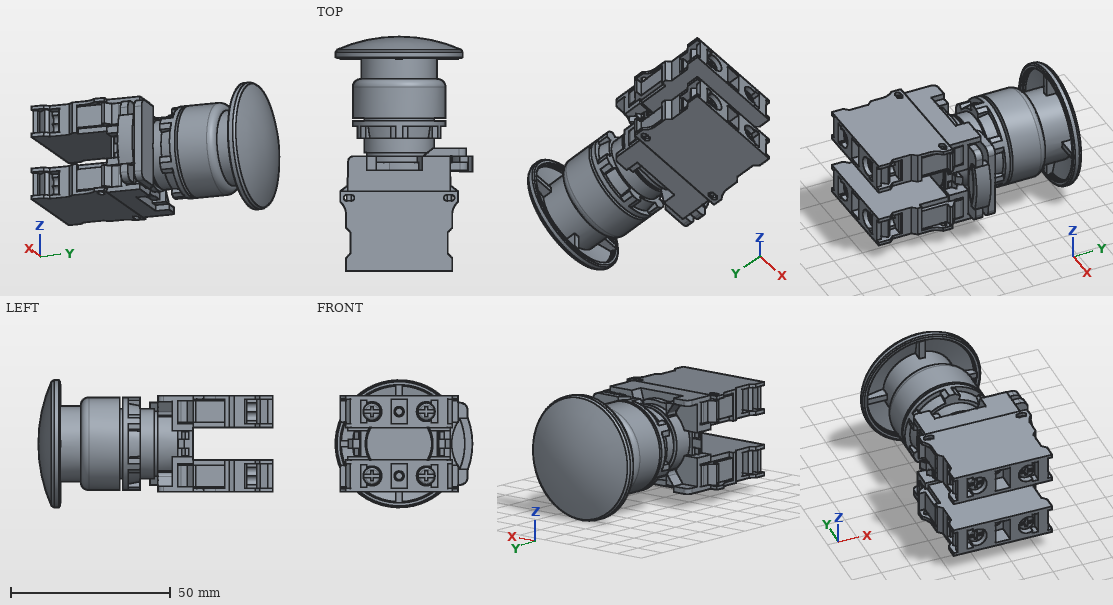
import cadquery as cq
import math



def box(x_range, y_range, z_range):
    """Box spanning three (low, high) ranges."""
    size = [high - low for low, high in (x_range, y_range, z_range)]
    start = (x_range[0], y_range[0], z_range[0])
    return cq.Workplane("XY").box(*size, centered=False).translate(start)


def prism_z(points, z_range):
    """Prism along Z from an XY outline."""
    low, high = z_range
    return cq.Workplane("XY", origin=(0, 0, low)).polyline(points).close().extrude(high - low)


def prism_y(points, y_range):
    """Prism along Y from an XZ outline."""
    low, high = y_range
    return cq.Workplane("XZ", origin=(0, low, 0)).polyline(points).close().extrude(low - high)


def disc(radius, y_range, x=0, z=0):
    """Cylinder along Y."""
    low, high = y_range
    return cq.Workplane("XZ", origin=(x, low, z)).circle(radius).extrude(low - high)


def both_x(shape):
    """The shape together with its mirror image across X = 0."""
    return shape.union(shape.mirror("YZ"))


def both_z(shape):
    """The shape together with its mirror image across Z = 0."""
    return shape.union(shape.mirror("XY"))


def mirrored_outline(half):
    """Closed XY outline from its +X half."""
    return half + [(-x, y) for x, y in reversed(half)]


length = 73.5
adapter_rear = 25.0
adapter_half_z = 15.1
bore_radius = 10.2
pocket_floor_y = 25.7
arm_root_x = 15.1
shell_low_z = 6.3
shell_high_z = 14.0
arm_z = (6.75, 13.5)


cap_radius = 20.0
cap_rim_y = 66.7
cap_side_y = (67.0, 68.5)
cap_shoulder = (19.5, 69.4)
cap_mouth_radius = 18.5
cap_lip_y = 67.3
cap_lip_step = 0.4
cavity_edge_y = 68.35
cavity_stem_y = 69.7
cap_chamfer_radius = 19.5
stem_radius = 11.9
collar_radius = 14.55
collar_y = (47.9, 60.2)
collar_round = 2.5
neck_radius = 11.0
neck_rear = 37.1
rib_width = 2.0
rib_rear = 66.4

nut_ring_y = (45.35, 47.05)
nut_rear = 41.6
tooth_count = 6
gap_half_angle_outer = 25.7
gap_half_angle_step = 19.0
gap_step_radius = 13.8
valley_front_radius = 12.85
valley_rear_radius = 12.1
gap_overrun = 2.2


def polar(radius, angle):
    """XZ point at an angle in degrees from +X."""
    return radius * math.cos(math.radians(angle)), radius * math.sin(math.radians(angle))


def head_turning():
    """Cap, stem, collar, neck, nut blank and barrel as one turned shape."""
    collar_rear, collar_front = collar_y
    dome_height = length - cap_shoulder[1]
    sphere_radius = (cap_shoulder[0] ** 2 + dome_height**2) / (2 * dome_height)
    half_x = cap_shoulder[0] / 2
    half_y = length - sphere_radius + math.sqrt(sphere_radius**2 - half_x**2)
    profile = (
        cq.Workplane("XY")
        .moveTo(0, length)
        .threePointArc((half_x, half_y), cap_shoulder)
        .lineTo(cap_radius, cap_side_y[1])
        .lineTo(cap_radius, cap_side_y[0])
        .lineTo(cap_chamfer_radius, cap_rim_y)
        .lineTo(cap_mouth_radius, cap_rim_y)
        .lineTo(cap_mouth_radius, cap_lip_y)
        .lineTo(cap_mouth_radius - cap_lip_step, cap_lip_y + cap_lip_step)
        .lineTo(cap_mouth_radius - cap_lip_step, cavity_edge_y)
        .lineTo(stem_radius, cavity_stem_y)
        .lineTo(stem_radius, collar_front)
        .lineTo(collar_radius - collar_round, collar_front)
        .radiusArc((collar_radius, collar_front - collar_round), collar_round)
        .lineTo(collar_radius, collar_rear)
        .lineTo(neck_radius, collar_rear)
        .lineTo(neck_radius, nut_ring_y[1])
        .lineTo(collar_radius, nut_ring_y[1])
        .lineTo(collar_radius, nut_rear)
        .lineTo(neck_radius, nut_rear)
        .lineTo(neck_radius, neck_rear)
        .lineTo(bore_radius, neck_rear)
        .lineTo(bore_radius, pocket_floor_y)
        .lineTo(0, pocket_floor_y)
        .close()
    )
    return profile.revolve(360, (0, 0, 0), (0, 1, 0))


def cap_ribs():
    """Four ribs between the stem and the cap rim."""
    bar = box(
        (-cap_mouth_radius, cap_mouth_radius), (rib_rear, cavity_stem_y), (-rib_width / 2, rib_width / 2)
    )
    return bar.union(bar.rotate((0, 0, 0), (0, 1, 0), 90))


def nut_gap():
    """Gap between two teeth of the nut, centred on +X, with a tapered floor."""
    y_range = (nut_rear, nut_ring_y[0])
    outside = collar_radius + gap_overrun
    inside = valley_rear_radius - gap_overrun
    upper = [
        polar(inside, gap_half_angle_step),
        polar(gap_step_radius, gap_half_angle_step),
        polar(collar_radius, gap_half_angle_outer),
        polar(outside, gap_half_angle_outer),
    ]
    lower = [(x, -z) for x, z in reversed(upper)]
    floor = (
        cq.Workplane("XY")
        .polyline([
            (0, nut_rear),
            (valley_rear_radius, nut_rear),
            (valley_front_radius, nut_ring_y[0]),
            (0, nut_ring_y[0]),
        ])
        .close()
        .revolve(360, (0, 0, 0), (0, 1, 0))
    )
    return prism_y(upper + lower, y_range).cut(floor)


def make_head():
    head = head_turning().union(cap_ribs())
    gap = nut_gap()
    for k in range(tooth_count):
        head = head.cut(gap.rotate((0, 0, 0), (0, 1, 0), k * 360 / tooth_count))
    return head


adapter_half_x = 16.0
adapter_front = 36.0
bracket_front = 31.5
cheek_inner_z = 4.05
middle_front = 29.8
middle_half_x = 12.35
pocket_half_x = 12.0
bore_relief = 0.4
tab_half_z = 1.5
bar_end_z = 3.75
tab_outline = [
    (middle_half_x, 27.8),
    (14.5, 27.8),
    (15.95, 29.6),
    (middle_half_x, 29.6),
]
bar_outline = [
    (middle_half_x, 26.3),
    (12.7, 26.3),
    (12.7, 27.4),
    (14.1, 28.5),
    (middle_half_x, 28.5),
]
plate_inner_z = 13.2
corner_round = 1.8
hub_radius = 11.4
notch_x = (-10.1, 7.2)
web_foot = (8.2, 7.9)
web_curve_middle = (7.4, 9.0)
web_curve_end = (7.65, 10.15)
window_left = -7.1
window_right = 5.45
window_floor_z = 8.8
ring_x = (-7.5, 6.3)
ring_radius = 12.8
ring_floor_z = 10.3
ring_flat_end = -2.9
ring_flat_z = 12.4
ring_y = (bracket_front, 34.0)

guard_front = 38.5
guard_left_x = (7.6, 10.65)
guard_right = 21.1
guard_half_z = 12.9
guard_round = 2.4

handle_radius = 23.0
handle_inner_radius = 20.6
handle_half_z = 7.95
handle_y = (31.1, adapter_front)
web_edge_radius = 13.4
web_edge_x = 16.5
web_y = (31.3, adapter_front)
lever_x = (16.0, 21.45)


def adapter_bracket():
    """Cheeks, outer plates, hub and middle wall."""
    cheek = box(
        (-adapter_half_x, adapter_half_x), (adapter_rear, bracket_front), (cheek_inner_z, adapter_half_z)
    )
    plate = box(
        (-adapter_half_x, adapter_half_x), (bracket_front, adapter_front), (plate_inner_z, adapter_half_z)
    )
    plate = plate.edges("|Z and <X and >Y").fillet(corner_round)
    notch_outline = [
        (notch_x[0], plate_inner_z),
        (notch_x[0], adapter_half_z),
        (notch_x[1], adapter_half_z),
        (window_right, window_floor_z),
        (window_left, window_floor_z),
        (window_left, plate_inner_z),
    ]
    notch = prism_y(notch_outline, (bracket_front, adapter_front))
    web = (
        cq.Workplane("XZ", origin=(0, bracket_front, 0))
        .moveTo(0, web_foot[1])
        .lineTo(*web_foot)
        .threePointArc(web_curve_middle, web_curve_end)
        .lineTo(-notch_x[0], plate_inner_z)
        .lineTo(0, plate_inner_z)
        .close()
        .extrude(bracket_front - adapter_front)
    )
    front = plate.union(both_x(web)).cut(notch)
    ring_lug = disc(ring_radius, ring_y).intersect(box(ring_x, ring_y, (ring_floor_z, ring_radius)))
    ring_lug = ring_lug.union(box((ring_x[0], ring_flat_end), ring_y, (ring_floor_z, ring_flat_z)))
    side = cheek.union(front).union(ring_lug)
    hub = disc(hub_radius, (middle_front, adapter_front))
    middle = box(
        (-middle_half_x, middle_half_x), (adapter_rear, middle_front), (-cheek_inner_z, cheek_inner_z)
    )
    return both_z(side).union(hub).union(middle)


def latch_windows():
    """Openings in the cheeks for the latch arms of the blocks."""
    window = box((arm_root_x, adapter_half_x), (adapter_rear, middle_front), (shell_low_z, arm_z[1]))
    return both_z(both_x(window))


def side_clips():
    """Wedge-shaped clip bars and a tab on each side of the middle wall."""
    tab = prism_z(tab_outline, (-tab_half_z, tab_half_z))
    bar = prism_z(bar_outline, (tab_half_z, bar_end_z))
    return both_x(both_z(bar).union(tab))


def lever():
    """Unlocking lever: plate, finger web and curved handle."""
    plate = box(lever_x, ring_y, (-guard_half_z, guard_half_z)).edges("|Y and >X").fillet(guard_round)
    web_edge = disc(web_edge_radius, web_y, x=web_edge_x + web_edge_radius)
    web = disc(handle_inner_radius, web_y).intersect(web_edge)
    handle = disc(handle_radius, handle_y).cut(disc(handle_inner_radius, handle_y))
    handle = handle.intersect(box((0, handle_radius), handle_y, (-handle_half_z, handle_half_z)))
    return plate.union(web).union(handle)


def lever_guard():
    """Plate in front of the lever, slanted on its left edge."""
    outline = [
        (guard_left_x[0], adapter_front),
        (guard_right, adapter_front),
        (guard_right, guard_front),
        (guard_left_x[1], guard_front),
    ]
    guard = prism_z(outline, (-guard_half_z, guard_half_z))
    return guard.edges("|Y and >X").fillet(guard_round)


def make_adapter():
    adapter = adapter_bracket().union(lever_guard()).union(lever()).union(side_clips())
    adapter = adapter.cut(latch_windows())
    pocket = box(
        (-pocket_half_x, pocket_half_x), (adapter_rear, pocket_floor_y), (-cheek_inner_z, cheek_inner_z)
    )
    adapter = adapter.cut(pocket)
    adapter = adapter.cut(disc(bore_radius, (adapter_rear, guard_front)))
    adapter = adapter.cut(disc(bore_radius + bore_relief, (adapter_rear, pocket_floor_y + bore_relief)))
    return adapter.cut(disc(neck_radius, (neck_rear, guard_front)))


block_low_z = 5.1
block_mid_z = (block_low_z + adapter_half_z) / 2
wide_x = 18.45
body_x = 16.7
waist_x = 15.3
arm_rear = 15.1
arm_face_x = 16.5
barb_rear = 24.1
waist_y = (5.5, 12.1)
waist_chamfer = 1.5
ear_y = (18.1, 21.7)
ear_curve_middle = (17.35, 20.3)
slot_center = (15.65, 22.9)
slot_length = 3.3
slot_width = 1.85

entry_floor_x = 11.75
entry_step_x = 14.3
entry_y = (5.1, 8.2)
entry_step_y = (5.1, 8.8)
groove_radius = 1.4

terminal_x = 8.5
terminal_radius = 3.1
terminal_depth = 2.95
clamp_x = (10.1, 12.05)
clamp_half_z = 3.5
screw_radius = 2.7
screw_height = 1.6
screw_round = 0.6
screw_slots = ((2.5, 0.5), (0.45, 1.55))
cross_depth = 0.6
center_half_x = 2.5
center_half_z = 3.8
center_depth = 5.9
pin_radius = 1.55
pin_height = 0.7
pin_chamfer = 0.4


front_half = [(arm_root_x, adapter_rear), (arm_root_x, arm_rear)]
waist_half = [
    (body_x, arm_rear),
    (body_x, waist_y[1] + waist_chamfer),
    (waist_x, waist_y[1]),
]
plate_rear_half = waist_half + [
    (waist_x, waist_y[0]),
    (body_x, waist_y[0] - waist_chamfer),
    (body_x, 0),
]
post_half = [
    (waist_x, entry_y[0]),
    (entry_step_x, entry_y[0]),
    (waist_x, 4.0),
    (13.3, 1.55),
    (waist_x, 1.55),
    (waist_x, 0),
]
arm_outline = [
    (arm_root_x, arm_rear),
    (arm_face_x, arm_rear),
    (arm_face_x, barb_rear),
    (wide_x, barb_rear),
    (wide_x, adapter_rear),
    (16.25, 26.75),
    (16.25, 28.9),
    (adapter_half_x, middle_front),
    (arm_root_x, middle_front),
]


def outer_plate():
    """Wide cover plate with ears over the latch arms and a slot in each ear."""
    plate = (
        cq.Workplane("XY", origin=(0, 0, shell_high_z))
        .moveTo(0, adapter_rear)
        .lineTo(wide_x, adapter_rear)
        .lineTo(wide_x, ear_y[1])
        .threePointArc(ear_curve_middle, (body_x, ear_y[0]))
    )
    for corner in plate_rear_half[1:]:
        plate = plate.lineTo(*corner)
    plate = plate.lineTo(0, 0).close().extrude(adapter_half_z - shell_high_z)
    slots = (
        cq.Workplane("XY", origin=(0, 0, shell_high_z))
        .pushPoints([slot_center, (-slot_center[0], slot_center[1])])
        .slot2D(slot_length, slot_width)
        .extrude(adapter_half_z - shell_high_z)
    )
    return both_x(plate).cut(slots)


def inner_plate():
    return prism_z(mirrored_outline(front_half + plate_rear_half), (block_low_z, shell_low_z))


def core():
    """Block body between the plates, with a post at each rear corner."""
    body = prism_z(mirrored_outline(front_half + waist_half + post_half), (shell_low_z, shell_high_z))
    entry = box((entry_floor_x, waist_x), entry_y, (shell_low_z, shell_high_z))
    entry = entry.union(box((entry_step_x, waist_x), entry_step_y, (shell_low_z, shell_high_z)))
    for offset in (-groove_radius, groove_radius):
        entry = entry.union(disc(groove_radius, entry_y, entry_floor_x, block_mid_z + offset))
    return body.cut(both_x(entry))


def latch_arms():
    """Barbed arms that reach into the windows of the adapter."""
    return both_x(prism_z(arm_outline, arm_z))


def terminal_opening():
    """Screw well joined to a tall clamp slot."""
    well = disc(terminal_radius, (0, terminal_depth), terminal_x, block_mid_z)
    clamp = box(clamp_x, (0, terminal_depth), (block_mid_z - clamp_half_z, block_mid_z + clamp_half_z))
    return well.union(clamp)


def terminal_screw():
    """Screw head with a slot crossed by a shorter one."""
    top = terminal_depth - screw_height
    head = disc(screw_radius, (top, terminal_depth), terminal_x, block_mid_z)
    head = head.faces("<Y").edges().fillet(screw_round)
    for half_x, half_z in screw_slots:
        head = head.cut(box(
            (terminal_x - half_x, terminal_x + half_x),
            (top, top + cross_depth),
            (block_mid_z - half_z, block_mid_z + half_z),
        ))
    return head


def make_block():
    block = core().union(outer_plate()).union(inner_plate()).union(latch_arms())
    block = block.cut(both_x(terminal_opening())).union(both_x(terminal_screw()))
    block = block.cut(box(
        (-center_half_x, center_half_x),
        (0, center_depth),
        (block_mid_z - center_half_z, block_mid_z + center_half_z),
    ))
    pin = disc(pin_radius, (center_depth - pin_height, center_depth), 0, block_mid_z)
    return block.union(pin.faces("<Y").edges().chamfer(pin_chamfer))


head = make_head()
adapter = make_adapter()
upper_block = make_block()
lower_block = upper_block.mirror("XY")

bodies = [head, adapter, upper_block, lower_block]
result = cq.Compound.makeCompound([body.solids().val() for body in bodies])